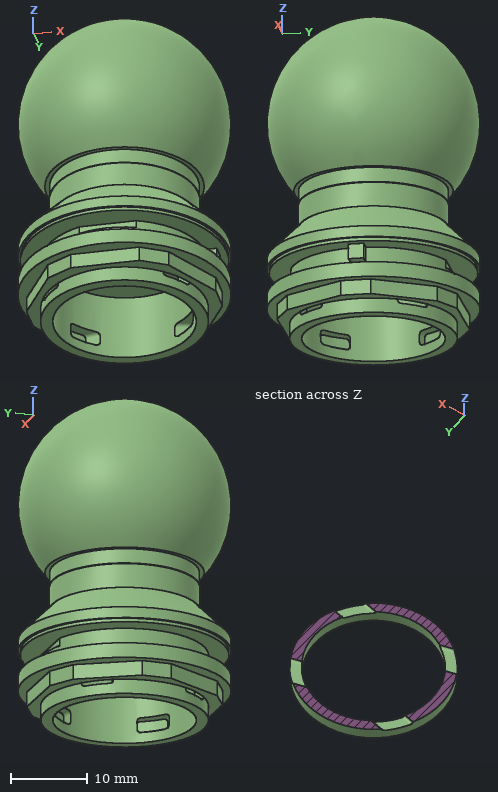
import cadquery as cq
import math

total_height = 43.75
ball_diameter = 28.0

nut_bottom = 1.95
collar_bottom = 4.0
collar_top = 6.0
flat_bottom = 8.0
lip_bottom = 9.0
flange_bottom = 9.5
flange_top = 11.0
cone_top = 15.05
neck_bevel_bottom = 18.35
neck_bevel_top = 18.45
ball_bottom = 20.45

flange_diameter = ball_diameter
collar_diameter = ball_diameter
lip_diameter = 27.4
barrel_diameter = 22.0
bore_diameter = 18.8
lower_neck_diameter = 19.85
upper_neck_diameter = 19.65

recess_diameter = 26.0
recess_depth = 1.0

flat_spacing = 20.65

tab_reach = 12.6
tab_width = 2.0
tab_height = 2.0

nut_sides = 6
nut_across_flats = 24.0
nut_across_corners = 25.4

window_angle = 14.0
window_offset = 4.5
window_width = 4.02
window_bottom = 1.45
window_height = 2.0
window_corner_radius = 0.505


def make_turned_body():
    """Everything round about the Z axis: bored barrel, recessed collar, flange, neck and ball."""
    ball_radius = ball_diameter / 2
    ball_center = total_height - ball_radius
    ball_bottom_radius = math.sqrt(ball_radius**2 - (ball_center - ball_bottom) ** 2)
    recess_floor = collar_top - recess_depth
    return (
        cq.Workplane("XZ")
        .moveTo(0, lip_bottom)
        .lineTo(bore_diameter / 2, lip_bottom)
        .lineTo(bore_diameter / 2, 0)
        .lineTo(barrel_diameter / 2, 0)
        .lineTo(barrel_diameter / 2, collar_bottom)
        .lineTo(collar_diameter / 2, collar_bottom)
        .lineTo(collar_diameter / 2, collar_top)
        .lineTo(recess_diameter / 2, collar_top)
        .lineTo(recess_diameter / 2, recess_floor)
        .lineTo(barrel_diameter / 2, recess_floor)
        .lineTo(barrel_diameter / 2, lip_bottom)
        .lineTo(lip_diameter / 2, lip_bottom)
        .lineTo(lip_diameter / 2, flange_bottom)
        .lineTo(flange_diameter / 2, flange_bottom)
        .lineTo(flange_diameter / 2, flange_top)
        .lineTo(lower_neck_diameter / 2, cone_top)
        .lineTo(lower_neck_diameter / 2, neck_bevel_bottom)
        .lineTo(upper_neck_diameter / 2, neck_bevel_top)
        .lineTo(upper_neck_diameter / 2, ball_bottom)
        .lineTo(ball_bottom_radius, ball_bottom)
        .threePointArc((ball_radius, ball_center), (0, total_height))
        .close()
        .revolve(360, (0, 0, 0), (0, 1, 0))
    )


def make_flat_cutter():
    """Block that cuts the flat on the +Y side of the barrel."""
    block = cq.Workplane("XY").box(
        barrel_diameter,
        barrel_diameter,
        lip_bottom - flat_bottom,
        centered=(True, False, False),
    )
    return block.translate((0, flat_spacing / 2, flat_bottom))


def make_window_cutter():
    """Rounded bar that cuts one window, in the +X +Y quarter of the barrel."""
    return (
        cq.Workplane("YZ")
        .center(window_offset, window_bottom + window_height / 2)
        .rect(window_width, window_height)
        .extrude(barrel_diameter)
        .edges("|X")
        .fillet(window_corner_radius)
        .rotate((0, 0, 0), (0, 0, 1), window_angle)
    )


def hexagon(across_flats, turn_angle):
    """Hexagonal prism as tall as the nut."""
    prism = (
        cq.Workplane("XY")
        .workplane(offset=nut_bottom)
        .polygon(nut_sides, across_flats, circumscribed=True)
        .extrude(collar_bottom - nut_bottom)
    )
    return prism.rotate((0, 0, 0), (0, 0, 1), turn_angle)


def make_nut():
    """Hexagonal nut with flat-cut corners, fitted around the barrel."""
    half_side_angle = 180 / nut_sides
    nut = hexagon(nut_across_flats, half_side_angle).intersect(hexagon(nut_across_corners, 0))
    return nut.faces(">Z").workplane(origin=(0, 0, 0)).hole(barrel_diameter)


def make_tab():
    """Block standing out of the barrel just under the lip."""
    root = (bore_diameter + barrel_diameter) / 4
    tab = cq.Workplane("XY").box(tab_reach - root, tab_width, tab_height, centered=(False, True, False))
    return tab.translate((root, 0, lip_bottom - tab_height))


body = make_turned_body()

flat_cutter = make_flat_cutter()
body = body.cut(flat_cutter).cut(flat_cutter.mirror("XZ"))

window_cutter = make_window_cutter()
for cutter in (window_cutter, window_cutter.mirror("YZ")):
    body = body.cut(cutter).cut(cutter.mirror("XZ"))

result = body.union(make_nut()).union(make_tab())